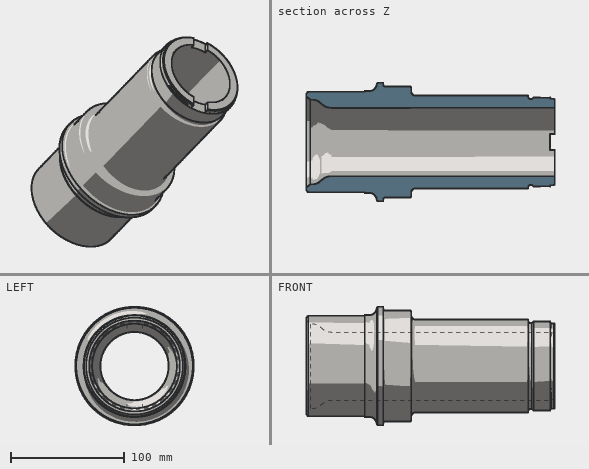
import cadquery as cq
import math

LENGTH = 219.19
START_X = -LENGTH / 2
FLANGE_DIAMETER = 104.78

FULL_TURN = 360
COS_45 = math.sqrt(0.5)

SOCKET_RADIUS = 44.5
BAND_RADIUS = 45.1
FLANGE_RADIUS = FLANGE_DIAMETER / 2
SHOULDER_RADIUS = 49.1
BARREL_RADIUS = 41.2
RING_RADIUS = 39.4
GROOVE_RADIUS = 38.0
SPIGOT_RADIUS = 38.4

BAND_START = 51.8
FLARE_START = 55.8
FLANGE_START = 62.1
FLANGE_END = 68.0
SHOULDER_END = 92.7
BARREL_END = 195.8
GROOVE_END = 199.1
RING_END = 215.1

MOUTH_CHAMFER = 1.8
FLANGE_CHAMFER = 1.0
SHOULDER_ROUNDING = 1.4
BARREL_ROUNDING = 0.9
SPIGOT_CHAMFER = 0.8
FLARE_FILLET = FLANGE_START - FLARE_START
FLANGE_FILLET = 1.6
SHOULDER_FILLET = 3.3
GROOVE_FILLET = 1.9
SPIGOT_FILLET = RING_RADIUS - SPIGOT_RADIUS

BORE_RADIUS = 30.0
MOUTH_RADIUS = 40.1
RECESS_RADIUS = 37.3
LEAD_IN_LENGTH = 3.6
RECESS_END = 5.4
TAPER_ANGLE = math.radians(42)
CONCAVE_RADIUS = 10.1
CONVEX_RADIUS = 13.2

SLOT_WIDTH = 14.0


def revolve_about_x(profile):
    return profile.revolve(FULL_TURN, (0, 0, 0), (1, 0, 0))


def concave_fillet(profile, face_x, floor_radius, size):
    """Quarter arc that starts on a face looking toward the far end and ends on a cylinder."""
    centre_x = face_x + size
    centre_radius = floor_radius + size
    mid_offset = size * COS_45
    return profile.threePointArc(
        (centre_x - mid_offset, centre_radius - mid_offset), (centre_x, floor_radius)
    )


def rounded_edge(profile, face_x, radius, size):
    """Cylinder whose far edge is rounded into a face looking toward the far end."""
    centre_x = face_x - size
    centre_radius = radius - size
    mid_offset = size * COS_45
    return profile.lineTo(centre_x, radius).threePointArc(
        (centre_x + mid_offset, centre_radius + mid_offset), (face_x, centre_radius)
    )


def flare(profile):
    """Quarter arc that rises from the band to the near face of the flange."""
    mid_offset = FLARE_FILLET * COS_45
    centre_radius = BAND_RADIUS + FLARE_FILLET
    return profile.lineTo(FLARE_START, BAND_RADIUS).threePointArc(
        (FLARE_START + mid_offset, centre_radius - mid_offset), (FLANGE_START, centre_radius)
    )


def outer_body():
    profile = cq.Workplane("XZ").moveTo(0, 0)
    profile = profile.lineTo(0, SOCKET_RADIUS - MOUTH_CHAMFER).lineTo(MOUTH_CHAMFER, SOCKET_RADIUS)
    profile = profile.lineTo(BAND_START, SOCKET_RADIUS).lineTo(BAND_START, BAND_RADIUS)
    profile = flare(profile)
    profile = profile.lineTo(FLANGE_START, FLANGE_RADIUS - FLANGE_CHAMFER)
    profile = profile.lineTo(FLANGE_START + FLANGE_CHAMFER, FLANGE_RADIUS)
    profile = profile.lineTo(FLANGE_END, FLANGE_RADIUS)
    profile = profile.lineTo(FLANGE_END, SHOULDER_RADIUS + FLANGE_FILLET)
    profile = concave_fillet(profile, FLANGE_END, SHOULDER_RADIUS, FLANGE_FILLET)
    profile = rounded_edge(profile, SHOULDER_END, SHOULDER_RADIUS, SHOULDER_ROUNDING)
    profile = profile.lineTo(SHOULDER_END, BARREL_RADIUS + SHOULDER_FILLET)
    profile = concave_fillet(profile, SHOULDER_END, BARREL_RADIUS, SHOULDER_FILLET)
    profile = rounded_edge(profile, BARREL_END, BARREL_RADIUS, BARREL_ROUNDING)
    profile = profile.lineTo(BARREL_END, GROOVE_RADIUS + GROOVE_FILLET)
    profile = concave_fillet(profile, BARREL_END, GROOVE_RADIUS, GROOVE_FILLET)
    profile = profile.lineTo(GROOVE_END, GROOVE_RADIUS)
    profile = profile.lineTo(GROOVE_END + RING_RADIUS - GROOVE_RADIUS, RING_RADIUS)
    profile = profile.lineTo(RING_END, RING_RADIUS)
    profile = concave_fillet(profile, RING_END, SPIGOT_RADIUS, SPIGOT_FILLET)
    profile = profile.lineTo(LENGTH - SPIGOT_CHAMFER, SPIGOT_RADIUS)
    profile = profile.lineTo(LENGTH, SPIGOT_RADIUS - SPIGOT_CHAMFER)
    profile = profile.lineTo(LENGTH, 0).close()
    return revolve_about_x(profile)


def run(radius, angle):
    """Axial length of an arc that leaves the axial direction and turns by the angle."""
    return radius * math.sin(angle)


def drop(radius, angle):
    """Radial change of the same arc."""
    return radius * (1 - math.cos(angle))


def bore():
    """Lead-in cone and recess, blended by two arcs and a short taper into the through bore."""
    half_angle = TAPER_ANGLE / 2
    taper_start_x = RECESS_END + run(CONCAVE_RADIUS, TAPER_ANGLE)
    taper_start_radius = RECESS_RADIUS - drop(CONCAVE_RADIUS, TAPER_ANGLE)
    taper_end_radius = BORE_RADIUS + drop(CONVEX_RADIUS, TAPER_ANGLE)
    taper_end_x = taper_start_x + (taper_start_radius - taper_end_radius) / math.tan(TAPER_ANGLE)
    bore_start_x = taper_end_x + run(CONVEX_RADIUS, TAPER_ANGLE)

    concave_mid = (
        RECESS_END + run(CONCAVE_RADIUS, half_angle),
        RECESS_RADIUS - drop(CONCAVE_RADIUS, half_angle),
    )
    convex_mid = (
        bore_start_x - run(CONVEX_RADIUS, half_angle),
        BORE_RADIUS + drop(CONVEX_RADIUS, half_angle),
    )
    profile = (
        cq.Workplane("XZ")
        .moveTo(0, 0)
        .lineTo(0, MOUTH_RADIUS)
        .lineTo(LEAD_IN_LENGTH, RECESS_RADIUS)
        .lineTo(RECESS_END, RECESS_RADIUS)
        .threePointArc(concave_mid, (taper_start_x, taper_start_radius))
        .lineTo(taper_end_x, taper_end_radius)
        .threePointArc(convex_mid, (bore_start_x, BORE_RADIUS))
        .lineTo(LENGTH, BORE_RADIUS)
        .lineTo(LENGTH, 0)
        .close()
    )
    return revolve_about_x(profile)


def end_slot():
    """Slot open at the far end, cut through both walls along Z, as deep as the spigot is long."""
    depth = LENGTH - RING_END
    height = 2 * RING_RADIUS
    slot = cq.Workplane("XY").box(depth, SLOT_WIDTH, height, centered=(False, True, True))
    return slot.translate((RING_END, 0, 0))


result = outer_body().cut(bore()).cut(end_slot()).translate((START_X, 0, 0))